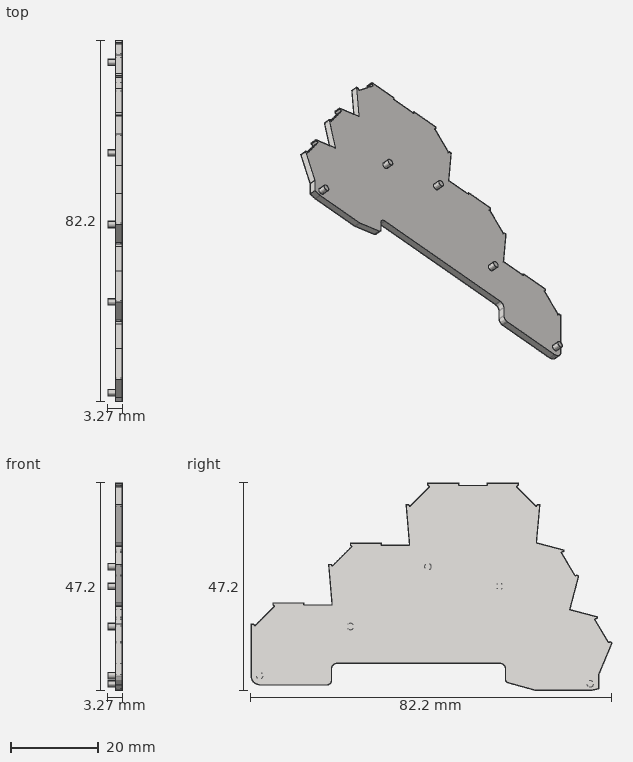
import cadquery as cq

plate_thickness = 1.57
peg_length = 1.70
peg_diameter = 1.5
overall_height = 47.15

step_run = 17.63
step_drop = 13.6
straight_tier_count = 3

label_recess_half = 3.2
label_recess_depth = 0.5
top_half_width = 10.3
lip_height = 0.45
bevel_top = (9.95, 0.8)
bevel_bottom = (14.4, 5.25)
side_lip_inner = (14.65, 4.85)
side_lip_outer = (15.24, 4.85)
root_offset = 14.45

tilted_step = (7.6, -15.2)
first_tilted_root = (root_offset, 33.6)
tilted_shoulder = [
    (6.25, -1.65),
    (6.25, -1.95),
    (5.65, -2.2),
    (8.8, -7.5),
    (9.15, -7.3),
    (9.6, -7.6),
]
tilted_tier_count = 2

rail_top = 6.15
rail_left = 7.35
rail_right = -32.15
rail_top_radius = 1.2
outer_foot_y = 28.65
outer_foot_top = 3.65
outer_foot_corner_rise = 0.4
outer_foot_flat_end = 27.0
outer_foot_slope_start = 14.25
outer_foot_slope_rise = 1.9
outer_foot_radius = 0.9
low_foot_height = 1.2
low_foot_radius = 1.2
low_foot_flat_end = -48.45
low_foot_slope_rise = 0.55
low_foot_corner_radius = 2.0

top_peg = (-10.25, 28.15)
tilted_peg = (6.05, 23.7)
outer_foot_peg = (26.65, 1.5)
low_foot_peg = (-48.55, 3.35)


def shoulder(step):
    """Points down the -Y side of one tier, from its top corner to its side lip."""
    centre = -step * step_run
    top = overall_height - step * step_drop
    offsets = [
        (top_half_width, 0),
        (top_half_width, lip_height),
        bevel_top,
        bevel_bottom,
        side_lip_inner,
        side_lip_outer,
    ]
    return [(centre - out, top - down) for out, down in offsets]


def straight_tiers():
    """Points from the top recess down the -Y side to the last side lip."""
    points = []
    for step in range(straight_tier_count):
        centre = -step * step_run
        top = overall_height - step * step_drop
        recess_end = centre - label_recess_half
        points.append((recess_end, top - label_recess_depth))
        points.append((recess_end, top))
        points += shoulder(step)
        if step < straight_tier_count - 1:
            root_height = top - step_drop - label_recess_depth
            points.append((centre - root_offset, root_height))
    return points


def tilted_tiers():
    """Points from the lowest +Y side lip up to the root below the top tier."""
    points = []
    for step in reversed(range(tilted_tier_count)):
        root_y = first_tilted_root[0] + step * tilted_step[0]
        root_z = first_tilted_root[1] + step * tilted_step[1]
        for out, rise in reversed(tilted_shoulder):
            points.append((root_y + out, root_z + rise))
        points.append((root_y, root_z))
    return points


def top_tier_far_side():
    """Points up the +Y side of the top tier, mirroring its -Y side, to the recess."""
    points = [(-y, z) for y, z in reversed(shoulder(0))]
    points.append((label_recess_half, overall_height))
    points.append((label_recess_half, overall_height - label_recess_depth))
    return points


def feet():
    """Points along the underside, from the -Y end to the +Y end."""
    end_y = -(straight_tier_count - 1) * step_run - side_lip_outer[0]
    return [
        (end_y, low_foot_height + low_foot_slope_rise),
        (low_foot_flat_end, low_foot_height),
        (rail_right, low_foot_height),
        (rail_right, rail_top),
        (rail_left, rail_top),
        (rail_left, outer_foot_slope_rise),
        (outer_foot_slope_start, 0),
        (outer_foot_flat_end, 0),
        (outer_foot_y, outer_foot_corner_rise),
        (outer_foot_y, outer_foot_top),
    ]


def round_corner(body, corner, radius):
    """Round the through-thickness edge of the plate at one outline corner."""
    reach = 0.01
    y, z = corner
    selector = cq.selectors.BoxSelector(
        (-reach, y - reach, z - reach),
        (plate_thickness + reach, y + reach, z + reach),
    )
    return body.edges(selector).fillet(radius)


def make_plate():
    """Stepped flat plate with its foot corners rounded."""
    underside = feet()
    outline = straight_tiers() + underside + tilted_tiers() + top_tier_far_side()
    body = cq.Workplane("YZ").polyline(outline).close().extrude(plate_thickness)
    body = round_corner(body, underside[0], low_foot_corner_radius)
    body = round_corner(body, (rail_right, low_foot_height), low_foot_radius)
    body = round_corner(body, (rail_right, rail_top), rail_top_radius)
    body = round_corner(body, (rail_left, rail_top), rail_top_radius)
    return round_corner(body, (rail_left, outer_foot_slope_rise), outer_foot_radius)


def make_pegs():
    """Round locating pegs on the -X face."""
    stepped_peg = (top_peg[0] - step_run, top_peg[1] - step_drop)
    centres = [top_peg, stepped_peg, tilted_peg, outer_foot_peg, low_foot_peg]
    return cq.Workplane("YZ").pushPoints(centres).circle(peg_diameter / 2).extrude(-peg_length)


result = make_plate().union(make_pegs())